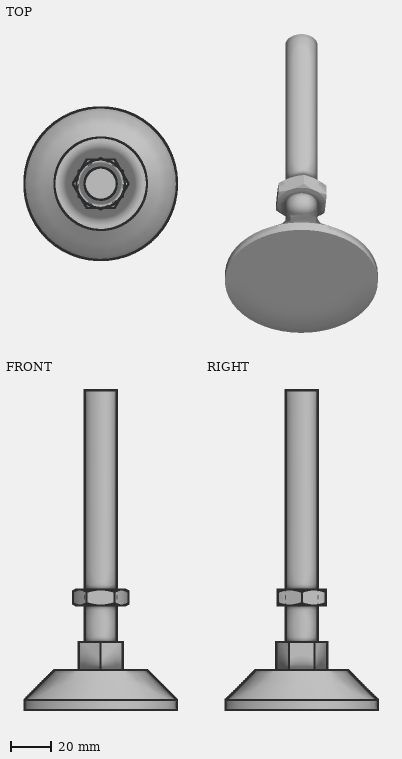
import cadquery as cq
import math


total_height = 159.0

base_diameter = 76.0
base_top_diameter = 46.0
base_rim_height = 5.0
base_height = 20.0

rod_diameter = 16.0
collar_across_flats = 22.0
collar_height = 14.0
collar_turn = 30.0
rod_length = total_height - base_height - collar_height

nut_across_flats = 24.0
nut_height = 8.0
nut_bottom = 52.0
nut_chamfer_angle = 30.0
nut_face_diameter = nut_across_flats


def across_corners(across_flats):
    """Corner-to-corner width of a regular hexagon."""
    return across_flats / math.cos(math.radians(30))


def make_base():
    """Disc rim with a cone frustum rising to a flat top."""
    return (
        cq.Workplane("XZ")
        .moveTo(0, 0)
        .lineTo(base_diameter / 2, 0)
        .lineTo(base_diameter / 2, base_rim_height)
        .lineTo(base_top_diameter / 2, base_height)
        .lineTo(0, base_height)
        .close()
        .revolve(360, (0, 0), (0, 1))
    )


def make_spindle():
    """Hexagonal collar standing on the base, with the plain rod above it."""
    collar = (
        cq.Workplane("XY", origin=(0, 0, base_height))
        .transformed(rotate=(0, 0, collar_turn))
        .polygon(6, across_corners(collar_across_flats))
        .extrude(collar_height)
    )
    return collar.faces(">Z").workplane().circle(rod_diameter / 2).extrude(rod_length)


def make_nut():
    """Thin hexagon nut with corners along X, chamfered on both faces."""
    corner_diameter = across_corners(nut_across_flats)
    chamfer_width = (corner_diameter - nut_face_diameter) / 2
    chamfer_height = chamfer_width * math.tan(math.radians(nut_chamfer_angle))
    hexagon = (
        cq.Workplane("XY", origin=(0, 0, nut_bottom))
        .polygon(6, corner_diameter)
        .circle(rod_diameter / 2)
        .extrude(nut_height)
    )
    chamfered_disc = (
        cq.Workplane("XY", origin=(0, 0, nut_bottom))
        .circle(corner_diameter / 2)
        .extrude(nut_height)
        .faces("<Z").chamfer(chamfer_height, chamfer_width)
        .faces(">Z").chamfer(chamfer_height, chamfer_width)
    )
    return hexagon.intersect(chamfered_disc)


base = make_base()
spindle = make_spindle()
nut = make_nut()

result = cq.Compound.makeCompound([base.val(), spindle.val(), nut.val()])